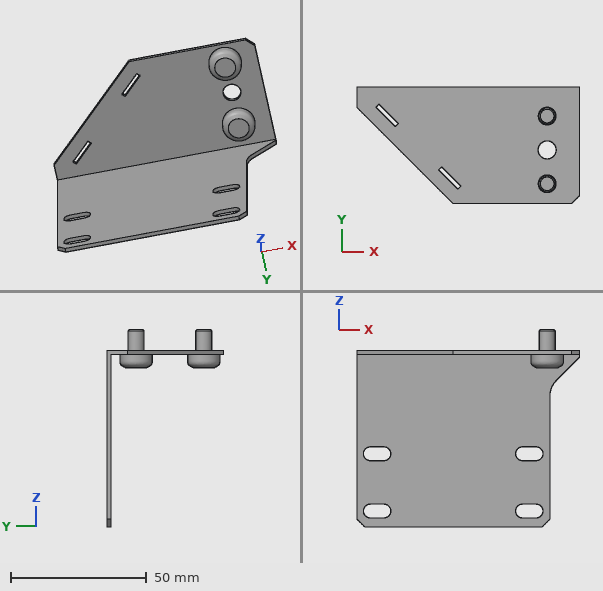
import cadquery as cq
import math


length = 82.0
depth = 43.0
height = 65.0
sheet = 1.55
corner_cut = 2.95

left_edge = 7.55
big_cut = depth - left_edge

wall_width = 71.1
ear_edge = 2.55
overhang = length - wall_width
ear_fillet = 8.0

strap_length = 10.0
strap_width = 1.5
strap_x = 11.15
strap_y = -10.5
strap_step = 23.05

slot_length = 10.0
slot_width = 5.0
slot_inset = 7.5
slot_rise = 5.9
slot_pitch_x = 56.0
slot_pitch_z = 21.1

hole_diameter = 6.6
hole_x = 70.0
hole_pitch = 12.5
middle_hole_y = -23.2

shank_diameter = 6.0
shank_rise = 7.7
shank_chamfer = 0.5
head_diameter = 12.0
head_height = 4.9
head_flat_diameter = 7.7
head_cone_angle = 30.0
head_fillet = 1.7


def make_flange():
    return (
        cq.Workplane("XY")
        .moveTo(0, 0)
        .lineTo(length, 0)
        .lineTo(length, corner_cut - depth)
        .lineTo(length - corner_cut, -depth)
        .lineTo(big_cut, -depth)
        .lineTo(0, -left_edge)
        .close()
        .extrude(-sheet)
    )


def make_wall():
    ear_bottom = -ear_edge - overhang
    wall = (
        cq.Workplane("XZ")
        .moveTo(0, 0)
        .lineTo(length, 0)
        .lineTo(length, -ear_edge)
        .lineTo(wall_width, ear_bottom)
        .lineTo(wall_width, corner_cut - height)
        .lineTo(wall_width - corner_cut, -height)
        .lineTo(corner_cut, -height)
        .lineTo(0, corner_cut - height)
        .close()
        .extrude(sheet)
    )
    ear_corner = cq.selectors.NearestToPointSelector((wall_width, -sheet / 2, ear_bottom))
    return wall.edges("|Y").edges(ear_corner).fillet(ear_fillet)


def make_mounting_slots():
    low = slot_rise - height
    centres = [
        (x, z)
        for x in (slot_inset, slot_inset + slot_pitch_x)
        for z in (low, low + slot_pitch_z)
    ]
    return cq.Workplane("XZ").pushPoints(centres).slot2D(slot_length, slot_width).extrude(sheet)


def make_strap_slots():
    centres = [(strap_x + i * strap_step, strap_y - i * strap_step) for i in range(2)]
    slot = (
        cq.Workplane("XY")
        .rect(strap_length, strap_width)
        .extrude(-sheet)
        .rotate((0, 0, 0), (0, 0, 1), -45)
    )
    first, second = [slot.translate((x, y, 0)) for x, y in centres]
    return first.union(second)


def make_holes():
    centres = [(hole_x, middle_hole_y + i * hole_pitch) for i in (-1, 0, 1)]
    return cq.Workplane("XY").pushPoints(centres).circle(hole_diameter / 2).extrude(-sheet)


def make_screw():
    """Upright screw on the Z axis, its head bearing on the flange's underside."""
    head_radius = head_diameter / 2
    flat_radius = head_flat_diameter / 2
    cone_height = (head_radius - flat_radius) * math.tan(math.radians(head_cone_angle))
    head_end = -sheet - head_height
    head = (
        cq.Workplane("XZ")
        .moveTo(0, -sheet)
        .lineTo(head_radius, -sheet)
        .lineTo(head_radius, head_end + cone_height)
        .lineTo(flat_radius, head_end)
        .lineTo(0, head_end)
        .close()
        .revolve(360, (0, 0, 0), (0, 1, 0))
    )
    shoulder = cq.selectors.NearestToPointSelector((0, 0, head_end + cone_height))
    head = head.edges("%CIRCLE").edges(shoulder).fillet(head_fillet)
    shank = (
        cq.Workplane("XY", origin=(0, 0, -sheet))
        .circle(shank_diameter / 2)
        .extrude(sheet + shank_rise)
        .faces(">Z")
        .chamfer(shank_chamfer)
    )
    return head.union(shank)


bracket = make_flange().union(make_wall())
bracket = bracket.cut(make_mounting_slots()).cut(make_strap_slots()).cut(make_holes())

screw = make_screw()
for side in (-1, 1):
    bracket = bracket.union(screw.translate((hole_x, middle_hole_y + side * hole_pitch, 0)))

result = bracket